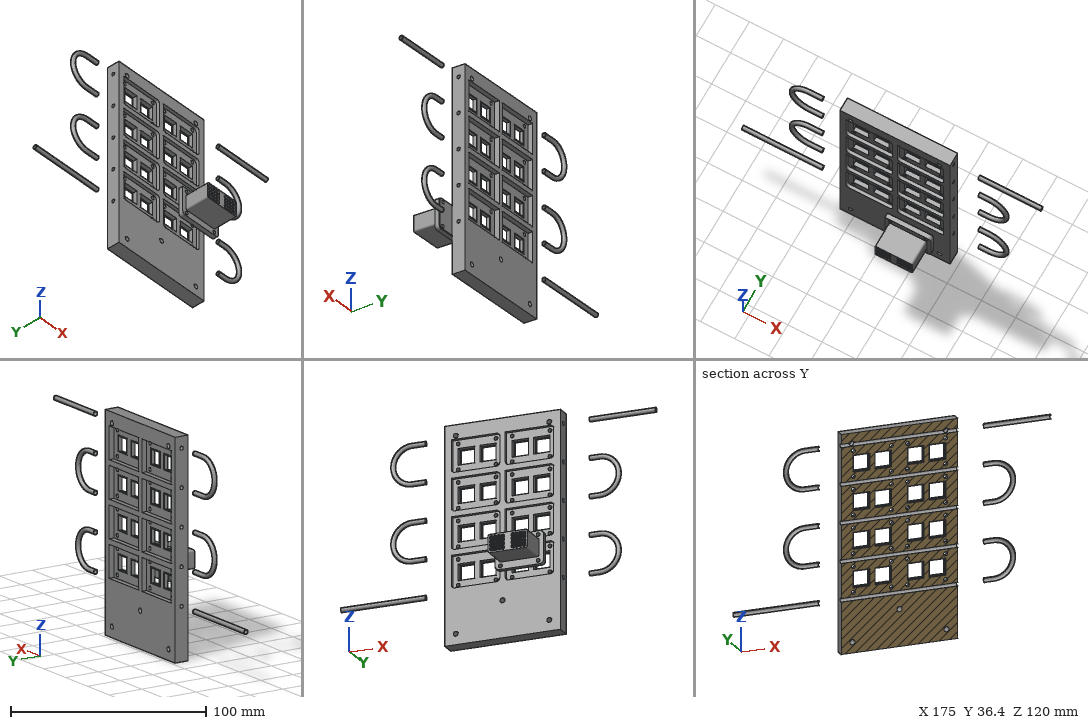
import cadquery as cq
panel_width = 64.4
panel_thickness = 8.0
panel_height = 120.0
row_count = 4
row_pitch = 21.0
column_spacing = 30.0
first_row_z = 43.1

recess_width = 27.0
recess_height = 18.0
recess_depth = 2.0
back_recess_depth = 3.0
recess_corner_radius = 2.0
screw_spacing_x = 21.0
screw_spacing_z = 14.0
screw_hole_diameter = 1.95

window_size = 9.0
window_back_size = 8.0
window_step_depth = 2.5
window_spacing = 12.0

mount_diameter = 2.6
mount_spacing_x = 52.0
mount_spacing_z = 108.0
lower_hole_diameter = 2.7
lower_hole_z = -39.5

tube_diameter = 2.7
tube_bore = 2.0
left_leg = 7.7
right_leg = 5.5
channel_diameter = 2.0
inlet_length = 47.0
outlet_length = 36.71
left_gap = 12.1
right_gap = 14.8

plug_back_y = -10.35
plug_lift = 1.0
flange_thickness = 3.0
flange_edge_chamfer = 0.3
plug_width = 22.0
plug_height = 10.0
plug_length = 15.0
plug_edge_radius = 1.0
contact_count = 4
contact_pitch = 2.1
contact_diameter = 1.95
contact_depth = 1.0
contact_core_diameter = 1.0
contact_core_depth = 3.0

channel_y = panel_thickness / 2
channel_levels = [first_row_z + row_pitch * (0.5 - i) for i in range(row_count + 1)]
row_levels = [first_row_z - row_pitch * i for i in range(row_count)]
column_centers = [-column_spacing / 2, column_spacing / 2]
left_tube_x = -panel_width / 2 - left_gap
right_tube_x = panel_width / 2 + right_gap


def front_plane(x, y, z):
    """Sketch plane facing -Y, with sketch x along X and sketch y along Z."""
    return cq.Workplane("XZ", origin=(x, y, z))


def keyed_plate(x, front_y, z, thickness):
    """Recess-shaped plate behind front_y: three round corners, the upper left one square."""
    plate = front_plane(x, front_y, z).rect(recess_width, recess_height).extrude(-thickness)
    return plate.edges("|Y").edges(">X or <Z").fillet(recess_corner_radius)


def screw_holes(x, front_y, z, depth):
    """Four screw holes at the corners of a plug position."""
    pattern = front_plane(x, front_y, z).rect(screw_spacing_x, screw_spacing_z, forConstruction=True)
    return pattern.vertices().circle(screw_hole_diameter / 2).extrude(-depth)


def windows(x, front_y, z, size, depth):
    """A side-by-side pair of square openings."""
    pair = front_plane(x, front_y, z).pushPoints([(-window_spacing / 2, 0), (window_spacing / 2, 0)])
    return pair.rect(size, size).extrude(-depth)


def make_panel():
    panel = front_plane(0, 0, 0).rect(panel_width, panel_height).extrude(-panel_thickness)
    for x in column_centers:
        for z in row_levels:
            panel = panel.cut(keyed_plate(x, 0, z, recess_depth))
            back_recess = front_plane(x, panel_thickness, z).rect(recess_width, recess_height)
            panel = panel.cut(back_recess.extrude(back_recess_depth))
            panel = panel.cut(windows(x, recess_depth, z, window_size, window_step_depth))
            panel = panel.cut(windows(x, 0, z, window_back_size, panel_thickness))
            panel = panel.cut(screw_holes(x, 0, z, panel_thickness))
    mounts = front_plane(0, 0, 0).rect(mount_spacing_x, mount_spacing_z, forConstruction=True).vertices()
    panel = panel.cut(mounts.circle(mount_diameter / 2).extrude(-panel_thickness))
    lower_hole = front_plane(0, 0, lower_hole_z).circle(lower_hole_diameter / 2)
    panel = panel.cut(lower_hole.extrude(-panel_thickness))
    for z in channel_levels:
        start = cq.Workplane("YZ", origin=(-panel_width / 2, channel_y, z))
        panel = panel.cut(start.circle(channel_diameter / 2).extrude(panel_width))
    return panel


def make_straight_tube(start_x, z, length):
    start = cq.Workplane("YZ", origin=(start_x, channel_y, z))
    return start.circle(tube_diameter / 2).circle(tube_bore / 2).extrude(length)


def make_return_bend(end_x, upper_z, leg, side):
    """U-shaped tube joining two channels; side is -1 or +1, the X direction in which it bulges."""
    bend_x = end_x + side * leg
    bend_radius = row_pitch / 2
    lower_z = upper_z - row_pitch
    path = (
        cq.Workplane("XZ", origin=(0, channel_y, 0))
        .moveTo(end_x, upper_z)
        .lineTo(bend_x, upper_z)
        .threePointArc((bend_x + side * bend_radius, upper_z - bend_radius), (bend_x, lower_z))
        .lineTo(end_x, lower_z)
    )
    section = cq.Workplane("YZ", origin=(end_x, channel_y, upper_z))
    return section.circle(tube_diameter / 2).circle(tube_bore / 2).sweep(path)


def make_plug():
    x = column_centers[-1]
    z = row_levels[-1] + plug_lift
    flange_front_y = plug_back_y - flange_thickness
    nose_y = flange_front_y - plug_length
    flange = keyed_plate(x, flange_front_y, z, flange_thickness)
    flange = flange.faces(">Y").edges().chamfer(flange_edge_chamfer)
    block = front_plane(x, flange_front_y, z).rect(plug_width, plug_height).extrude(plug_length)
    block = block.edges("|Y").fillet(plug_edge_radius)
    plug = flange.union(block).cut(screw_holes(x, flange_front_y, z, flange_thickness))
    for side in (-1, 1):
        array = front_plane(x + side * window_spacing / 2, nose_y, z).rarray(
            contact_pitch, contact_pitch, contact_count, contact_count
        )
        plug = plug.cut(array.circle(contact_diameter / 2).extrude(-contact_depth))
        plug = plug.cut(array.circle(contact_core_diameter / 2).extrude(-contact_core_depth))
    return plug


panel = make_panel()
plug = make_plug()
inlet_tube = make_straight_tube(left_tube_x - inlet_length, channel_levels[-1], inlet_length)
outlet_tube = make_straight_tube(right_tube_x, channel_levels[0], outlet_length)
left_bends = [make_return_bend(left_tube_x, z, left_leg, -1) for z in channel_levels[0:-1:2]]
right_bends = [make_return_bend(right_tube_x, z, right_leg, 1) for z in channel_levels[1:-1:2]]
bends = left_bends + right_bends

result = cq.Compound.makeCompound(
    [panel.val(), plug.val(), inlet_tube.val(), outlet_tube.val(), *[bend.val() for bend in bends]]
)